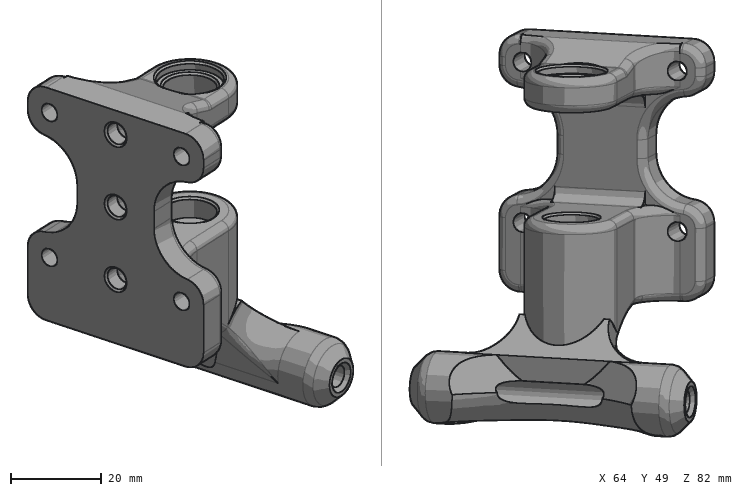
import cadquery as cq
import math


plate_width = 48.05
plate_height = 58.0
plate_thick = 8.0
corner_radius = 5.0
waist_radius = 10.0
screw_hole_dia = 4.3
screw_inset = 6.0
screw_spacing = 36.1
pilot_dia = 5.1
pilot_rim = 0.5
pilot_depth = 4.1
drill_tip_angle = 118.0

boss_radius = 10.5
boss_y = 28.05
arm_top = -3.5
arm_bottom = -11.5
ramp_end_y = 21.3
block_top = -36.5
root_flare = 8.0
edge_round = 2.0
inner_corner_round = 3.0
overlap = 2.9

pivot_bore_dia = 12.0
bore_rim = 0.5
seat_dia = 15.1
seat_depth = 2.0
pocket_depth = 5.0
bolt_dia = 5.25
scoop_dia = 12.0
scoop_top = -54.1

bar_length = 64.0
bar_radius = 8.0
bar_y = 41.0
bar_z = -74.0
bar_tip_chamfer = 3.5
bar_tip_round = 3.0
bar_hole_dia = 5.0
bar_hole_rim = 1.0

underside_radius = 22.0
web_flare = 9.8
neck_radius = 31.2
neck_section_radius = 7.5
neck_taper = 2.95
clearance = 0.8

half_width = plate_width / 2
screw_x = half_width - screw_inset
upper_screw_z = -screw_inset
lower_screw_z = upper_screw_z - screw_spacing
middle_z = (upper_screw_z + lower_screw_z) / 2
boss_tip_y = boss_y + boss_radius
root_y = plate_thick - overlap
root_half_width = boss_radius + root_flare
flare_y = plate_thick + root_flare


def plate():
    """Waisted plate with rounded back edges; its top back edge stays sharp for the arm ramp."""
    corner_x = half_width - corner_radius
    ear_rise = screw_spacing / 2 + corner_radius - screw_inset
    waist_x = boss_radius + waist_radius
    reach = waist_radius + corner_radius
    arc_rise = ear_rise - math.sqrt(reach**2 - (waist_x - corner_x) ** 2)
    touch_share = waist_radius / reach
    touch_x = waist_x + (corner_x - waist_x) * touch_share
    touch_rise = arc_rise + (ear_rise - arc_rise) * touch_share
    outline = (
        cq.Workplane("XZ")
        .moveTo(0, 0)
        .lineTo(corner_x, 0)
        .radiusArc((half_width, -corner_radius), corner_radius)
        .lineTo(half_width, middle_z + ear_rise)
        .radiusArc((touch_x, middle_z + touch_rise), corner_radius)
        .radiusArc((boss_radius, middle_z + arc_rise), -waist_radius)
        .lineTo(boss_radius, middle_z - arc_rise)
        .radiusArc((touch_x, middle_z - touch_rise), -waist_radius)
        .radiusArc((half_width, middle_z - ear_rise), corner_radius)
        .lineTo(half_width, corner_radius - plate_height)
        .radiusArc((corner_x, -plate_height), corner_radius)
        .lineTo(0, -plate_height)
        .mirrorY()
    )
    body = outline.extrude(-plate_thick).clean()
    return body.faces(">Y").edges("not(>Z)").fillet(edge_round)


def arm_blank(top, bottom):
    """Round-ended arm that flares out where it meets the plate."""
    return (
        cq.Workplane("XY", origin=(0, 0, bottom))
        .moveTo(0, root_y)
        .lineTo(root_half_width, root_y)
        .lineTo(root_half_width, plate_thick)
        .radiusArc((boss_radius, flare_y), root_flare)
        .lineTo(boss_radius, boss_y)
        .radiusArc((0, boss_tip_y), -boss_radius)
        .mirrorY()
        .extrude(top - bottom)
        .clean()
    )


def edges_between(body, low, high):
    """Edges of an arm beyond the plate and between two heights."""
    margin = 0.01
    zone = cq.selectors.BoxSelector(
        (-half_width, plate_thick + margin, low - margin),
        (half_width, boss_tip_y + margin, high + margin),
    )
    return body.edges(zone)


def upper_arm():
    """Upper clevis arm with a ramp rising to the top of the plate."""
    above = (
        cq.Workplane("YZ", origin=(-half_width, 0, 0))
        .moveTo(plate_thick, 0)
        .lineTo(ramp_end_y, arm_top)
        .lineTo(boss_tip_y + clearance, arm_top)
        .lineTo(boss_tip_y + clearance, 0)
        .close()
        .extrude(plate_width)
    )
    arm = arm_blank(0, arm_bottom).cut(above)
    arm = edges_between(arm, arm_bottom, arm_bottom).fillet(edge_round)
    arm = edges_between(arm, arm_top, arm_top).edges("|X").fillet(edge_round)
    return edges_between(arm, arm_top, 0).edges("not(|X or |Z)").fillet(edge_round)


def web_line(y):
    """Point on the 45 degree back of the web, which starts at the top of the bar."""
    return (y, bar_z + bar_radius + bar_y - y)


def side_shape(top_points):
    """Full-width solid between the given top line and the concave underside."""
    arc_z = -plate_height - underside_radius
    rise = bar_z - arc_z
    reach = underside_radius + bar_radius
    run = math.sqrt(reach**2 - rise**2)
    arc_y = bar_y - run
    touch_y = arc_y + run * underside_radius / reach
    touch_z = arc_z + rise * underside_radius / reach
    return (
        cq.Workplane("YZ", origin=(-half_width, 0, 0))
        .polyline(top_points + [(bar_y, bar_z), (touch_y, touch_z)])
        .radiusArc((arc_y, -plate_height), -underside_radius)
        .lineTo(root_y, -plate_height)
        .close()
        .extrude(plate_width)
    )


def web():
    """Sloping web that flares into the bar with a fillet turned about the bar axis."""
    flare_x = boss_radius + web_flare
    flare_reach = bar_radius + web_flare
    flare = (
        cq.Workplane("XY", origin=(0, bar_y, bar_z))
        .lineTo(flare_x, 0)
        .lineTo(flare_x, bar_radius)
        .radiusArc((boss_radius, flare_reach), web_flare)
        .lineTo(0, flare_reach)
        .mirrorY()
        .revolve(360, (0, 0, 0), (1, 0, 0))
    )
    slab = side_shape([web_line(flare_y), web_line(bar_y)])
    return slab.intersect(flare)


def lower_block():
    """Lower clevis block with its underside sweeping down to the bar."""
    outline = [
        (root_y, block_top),
        (boss_tip_y, block_top),
        web_line(boss_tip_y),
        web_line(bar_y),
    ]
    block = arm_blank(block_top, bar_z).intersect(side_shape(outline))
    block = block.union(web()).clean()
    block = edges_between(block, block_top, block_top).fillet(edge_round)
    underside_z = -65.6
    underside = block.faces(cq.selectors.NearestToPointSelector((0, boss_y, underside_z)))
    return underside.edges("not(|X)").fillet(edge_round)


def cross_bar():
    """Bar with bevelled ends and a concave neck in its far side."""
    body = (
        cq.Workplane("YZ", origin=(-bar_length / 2, bar_y, bar_z))
        .circle(bar_radius)
        .extrude(bar_length)
        .faces("<X or >X")
        .chamfer(bar_tip_chamfer)
    )
    shoulders = body.faces("not(#X or |X)").edges("%CIRCLE").edges("not(<X or >X)")
    body = shoulders.fillet(bar_tip_round)
    depth = bar_radius + clearance
    neck_reach = neck_radius + neck_section_radius
    neck = (
        cq.Workplane("XZ", origin=(0, bar_y + neck_radius, bar_z))
        .moveTo(0, depth)
        .lineTo(neck_radius + neck_taper, depth)
        .lineTo(neck_radius, 0)
        .radiusArc((neck_reach, -neck_section_radius), -neck_section_radius)
        .lineTo(neck_reach, -depth)
        .lineTo(0, -depth)
        .close()
        .revolve(360, (0, 0, 0), (0, 1, 0))
    )
    return body.cut(neck)


def inner_corner(arm_z, direction):
    """Concave fillet between the plate back and an arm face; direction points into the gap."""
    far_y = plate_thick + inner_corner_round
    far_z = arm_z + direction * inner_corner_round
    buried_y = plate_thick - clearance
    buried_z = arm_z - direction * clearance
    return (
        cq.Workplane("YZ", origin=(-boss_radius, 0, 0))
        .moveTo(buried_y, buried_z)
        .lineTo(far_y, buried_z)
        .lineTo(far_y, arm_z)
        .radiusArc((plate_thick, far_z), direction * inner_corner_round)
        .lineTo(buried_y, far_z)
        .close()
        .extrude(2 * boss_radius)
    )


def rimmed_hole(plane, origin, dia, rim, depth):
    """Round cutter running against the plane normal, with a bevelled mouth at the origin."""
    hole = cq.Workplane(plane, origin=origin).circle(dia / 2).extrude(-depth)
    mouth = cq.Workplane(plane, origin=origin).circle(dia / 2 + rim).extrude(-rim, taper=45)
    return hole.union(mouth)


def pivot_cutters():
    """Bores of both arms on the pivot axis, from the upper bearing seat to the lower scoop."""
    axis_top = (0, boss_y, arm_top)
    seat_floor = arm_top - seat_depth
    seat = rimmed_hole("XY", axis_top, seat_dia, bore_rim, seat_depth)
    headroom = cq.Workplane("XY", origin=axis_top).circle(seat_dia / 2 + bore_rim).extrude(-arm_top)
    arm_bore = rimmed_hole(
        "XY", (0, boss_y, seat_floor), pivot_bore_dia, bore_rim, seat_floor - arm_bottom
    )
    pocket = rimmed_hole("XY", (0, boss_y, block_top), pivot_bore_dia, bore_rim, pocket_depth)
    scoop_start = cq.Workplane("XY", origin=(0, boss_y, scoop_top))
    bolt = scoop_start.circle(bolt_dia / 2).extrude(-scoop_top)
    scoop = scoop_start.circle(scoop_dia / 2).extrude(bar_z)
    return [seat, headroom, arm_bore, pocket, bolt, scoop]


def screw_cutters():
    """Four clearance holes through the ears of the plate and the flared arm roots."""
    return [
        cq.Workplane("XZ", origin=(x, 0, z)).circle(screw_hole_dia / 2).extrude(-flare_y)
        for x in (-screw_x, screw_x)
        for z in (upper_screw_z, lower_screw_z)
    ]


def pilot_cutters():
    """Three blind holes on the centre line, each ending in a drill point."""
    radius = pilot_dia / 2
    tip = radius / math.tan(math.radians(drill_tip_angle / 2))
    drill = (
        cq.Workplane("XY")
        .lineTo(radius + pilot_rim, 0)
        .lineTo(radius, pilot_rim)
        .lineTo(radius, pilot_depth)
        .lineTo(0, pilot_depth + tip)
        .close()
        .revolve(360, (0, 0, 0), (0, 1, 0))
    )
    return [drill.translate((0, 0, z)) for z in (upper_screw_z, middle_z, lower_screw_z)]


def bar_cutters():
    """Bore along the bar with a bevelled mouth at each end."""
    bar_end = (bar_length / 2, bar_y, bar_z)
    bore = rimmed_hole("YZ", bar_end, bar_hole_dia, bar_hole_rim, bar_length)
    return [bore, bore.mirror("YZ")]


result = plate().union(upper_arm()).union(lower_block()).union(cross_bar())
result = result.union(inner_corner(arm_bottom, -1)).union(inner_corner(block_top, 1))
for cutter in pivot_cutters() + screw_cutters() + pilot_cutters() + bar_cutters():
    result = result.cut(cutter)